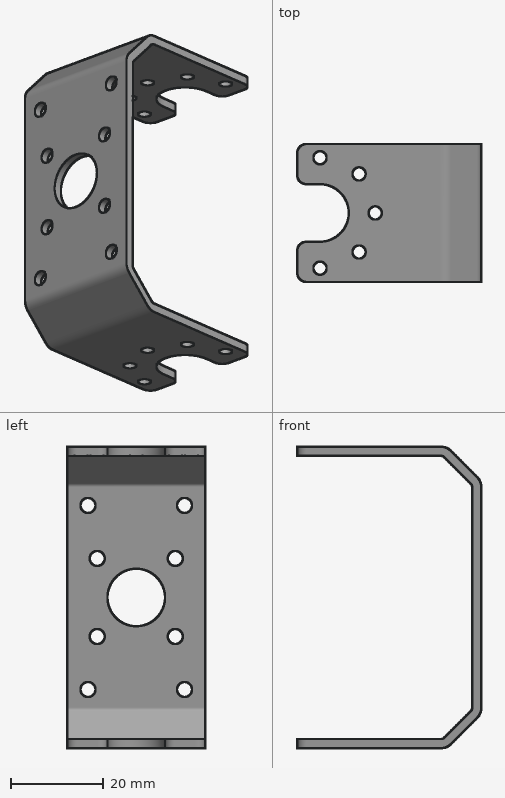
import cadquery as cq
import math

length = 40.0
width = 30.0
height = 65.5
thickness = 2.0
bend_setback = 7.5
inner_bend_radius = 1.0
outer_bend_radius = inner_bend_radius + thickness

corner_radius = 2.0
opening_radius = 6.2
notch_center_x = 5.0
bolt_circle_radius = 12.0
flange_hole_diameter = 2.8
flange_hole_angles = (-90, -45, 0, 45, 90)

back_hole_diameter = 3.2
inner_hole_offset = bolt_circle_radius * math.cos(math.radians(45))
outer_hole_offset_y = 10.5
outer_hole_offset_z = 20.0


def bent_profile(offset, bend_radius):
    """Extruded C outline inset from the envelope, with all four bends rounded."""
    right = length - offset
    top = height / 2 - offset
    setback = bend_setback - offset * (2 - math.sqrt(2))
    points = [
        (0, -top),
        (right - setback, -top),
        (right, -top + setback),
        (right, top - setback),
        (right - setback, top),
        (0, top),
    ]
    block = cq.Workplane("XZ").polyline(points).close().extrude(width / 2, both=True)
    bend_edges = block.edges("|Y").edges(cq.selectors.BoxSelector(
        (right - setback - thickness / 2, -width, -height),
        (right + thickness / 2, width, height),
    ))
    return bend_edges.fillet(bend_radius)


def cut_flanges(body):
    """Cut the notch and screw holes through both flanges, then round their corners."""
    bottom = cq.Workplane("XY").workplane(offset=-height / 2)
    notch = bottom.center(notch_center_x, 0).circle(opening_radius).extrude(height)
    throat = bottom.center(notch_center_x / 2, 0).rect(notch_center_x, 2 * opening_radius).extrude(height)
    body = body.cut(notch.union(throat))
    body = body.faces("<X").edges("|Z").fillet(corner_radius)

    hole_centers = [
        (
            notch_center_x + bolt_circle_radius * math.cos(math.radians(angle)),
            bolt_circle_radius * math.sin(math.radians(angle)),
        )
        for angle in flange_hole_angles
    ]
    holes = bottom.pushPoints(hole_centers).circle(flange_hole_diameter / 2).extrude(height)
    return body.cut(holes)


def cut_back_plate(body):
    """Cut the central opening and the two rectangular screw patterns."""
    plane = cq.Workplane("YZ").workplane(offset=length - thickness)
    hole_centers = [
        (side_y * offset_y, side_z * offset_z)
        for offset_y, offset_z in (
            (inner_hole_offset, inner_hole_offset),
            (outer_hole_offset_y, outer_hole_offset_z),
        )
        for side_y in (-1, 1)
        for side_z in (-1, 1)
    ]
    opening = plane.circle(opening_radius).extrude(thickness)
    holes = plane.pushPoints(hole_centers).circle(back_hole_diameter / 2).extrude(thickness)
    return body.cut(opening).cut(holes)


sheet = bent_profile(0, outer_bend_radius).cut(bent_profile(thickness, inner_bend_radius))
result = cut_back_plate(cut_flanges(sheet))